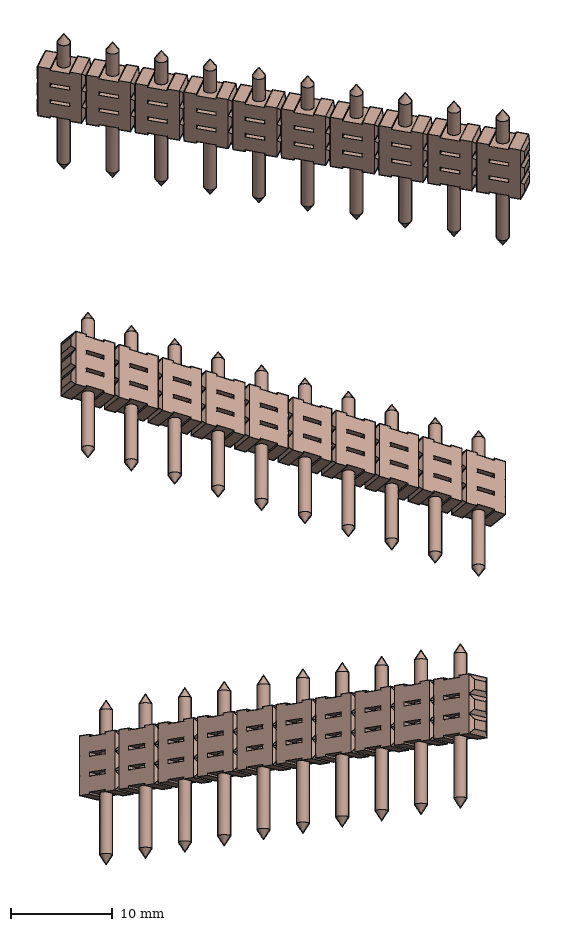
import cadquery as cq

pin_count = 10
pitch = 5.0

cells_per_block = 3
cell_height = 2.0
core_width = 4.5
block_depth = 2.8
block_height = cells_per_block * cell_height

pad_reach = (pitch - core_width) / 2
pad_inset = 0.5

notch_width = 2.0
notch_depth = 0.2

pin_diameter = 1.3
pin_above = 3.5
pin_below = 7.0
cone_height = 1.0


def make_core():
    """Block with the slots between its cells and the notches at its top and bottom."""
    core = cq.Workplane("XY").box(core_width, block_depth, block_height, centered=(True, True, False))
    for level in range(cells_per_block + 1):
        slot = cq.Workplane("XY").box(notch_width, block_depth, 2 * notch_depth)
        core = core.cut(slot.translate((0, 0, level * cell_height)))
    return core


def make_pad(side, cell):
    """Tapered pad on one side of the core: side is +1 or -1 along X."""
    pad = (
        cq.Workplane("YZ")
        .rect(block_depth, cell_height)
        .workplane(offset=pad_reach)
        .rect(block_depth - 2 * pad_inset, cell_height - 2 * pad_inset)
        .loft(combine=True)
    )
    if side < 0:
        pad = pad.mirror("YZ")
    return pad.translate((side * core_width / 2, 0, (cell + 0.5) * cell_height))


def make_pin():
    """Round pin along Z through the whole block, turned about its own axis."""
    radius = pin_diameter / 2
    top = block_height + pin_above
    bottom = -pin_below
    return (
        cq.Workplane("XZ")
        .moveTo(0, bottom)
        .lineTo(radius, bottom + cone_height)
        .lineTo(radius, top - cone_height)
        .lineTo(0, top)
        .close()
        .revolve(360, (0, 0, 0), (0, 1, 0))
    )


def make_position():
    """One complete position of the header: core, pads and pin."""
    position = make_core()
    for side in (-1, 1):
        for cell in range(cells_per_block):
            position = position.union(make_pad(side, cell))
    return position.union(make_pin())


position = make_position()
first_x = -(pin_count - 1) * pitch / 2
result = position.translate((first_x, 0, 0))
for index in range(1, pin_count):
    result = result.union(position.translate((first_x + index * pitch, 0, 0)))